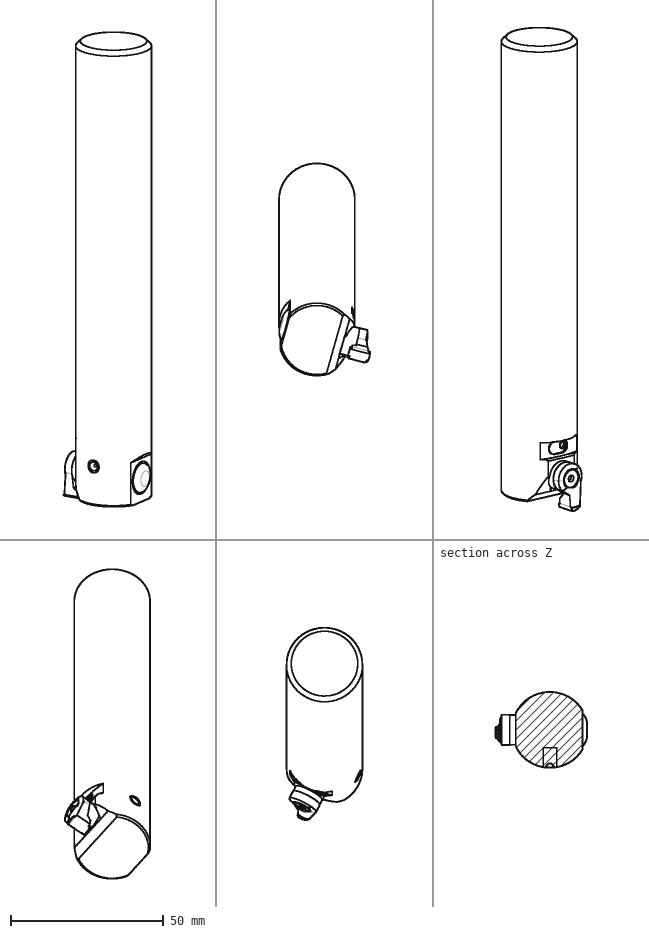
import cadquery as cq
import math


barrel_diameter = 25.0
barrel_radius = barrel_diameter / 2
barrel_length = 155.5
top_chamfer = 1.6
bottom_chamfer = 0.6

window_bottom = 14.7
window_top = 20.4
window_floor_radius = 31.6
window_floor_x = -10.7
recess_floor_x = -10.1
recess_length = 7.6
recess_height = 4.5
recess_center_y = 0.6
recess_center_z = 17.9
recess_hole_diameter = 2.5
recess_hole_bottom_diameter = 2.0
recess_hole_depth = 1.0
recess_hole_step_depth = 0.3
recess_hole_y = -1.7
recess_hole_z = 18.0

seat_x = -11.2
seat_top = 14.0
seat_bottom = 8.8
slope_break_x = -8.7
slope_break_z = 2.7
slope_end_x = -6.0
clearance_min_y = -5.0
clearance_max_y = 2.5

rear_flat_x = 10.7
rear_flat_top = 14.9
rear_run_out = barrel_radius - rear_flat_x

axle_z = 8.2
axle_diameter = 9.8
dome_diameter = 10.9
dome_flat_diameter = 5.2
dome_height = 1.5
dome_bulge_height = 1.0
hub_diameter = 10.0
hub_radius = hub_diameter / 2
hub_back_x = -13.1
hub_rim_x = -15.8
hub_face_x = -16.5
hub_face_diameter = 6.6
dial_diameter = 6.0
dial_floor_x = -16.3
dial_hole_diameter = 2.2
dial_hole_depth = 1.3
arm_outer_x = -17.5
arm_foot_x = -11.7
arm_foot_top = 0.6
foot_slope_top = 2.0
arm_min_y = -3.2
arm_max_y = 1.1
arm_neck_z = 2.8
arm_crown_radius = 7.0
arm_crown_y = -0.8
lip_outer_x = -18.0
lip_inner_x = -11.0
lip_top = -1.3
arm_side_bottom = -1.0
lever_bottom = -2.5
lever_tip_y = 0.6
arm_end_middle_z = -2.0

screw_diameter = 4.3
screw_z = 13.5
screw_face_y = -12.3
screw_length = 6.3
socket_mouth_diameter = 3.0
socket_floor_diameter = 1.0
socket_depth = 1.3

cut_reach = 2 * barrel_diameter


def box_between(x_range, y_range, z_range):
    """Box given by its lower and upper limit along each axis."""
    sizes = [upper - lower for lower, upper in (x_range, y_range, z_range)]
    corner = cq.Vector(x_range[0], y_range[0], z_range[0])
    return cq.Workplane(cq.Solid.makeBox(*sizes, pnt=corner))


def rod_along_x(diameter, start_x, end_x, y, z):
    """Round rod parallel to X."""
    rod = cq.Solid.makeCylinder(diameter / 2, end_x - start_x, cq.Vector(start_x, y, z), cq.Vector(1, 0, 0))
    return cq.Workplane(rod)


def side_profile(points, half_width):
    """Prism with an outline in X and Z, centred on Y = 0."""
    return cq.Workplane("XZ").polyline(points).close().extrude(half_width, both=True)


def axle():
    """Axle through the barrel, with a domed head on the flat at +X."""
    rim_radius = dome_diameter / 2
    flat_radius = dome_flat_diameter / 2
    crown_x = rear_flat_x + dome_height
    bulge_radius = (rim_radius + flat_radius) / 2
    bulge_x = rear_flat_x + dome_bulge_height
    return (
        cq.Workplane("XY")
        .moveTo(hub_back_x, 0)
        .lineTo(hub_back_x, axle_diameter / 2)
        .lineTo(rear_flat_x, axle_diameter / 2)
        .lineTo(rear_flat_x, rim_radius)
        .threePointArc((bulge_x, bulge_radius), (crown_x, flat_radius))
        .lineTo(crown_x, 0)
        .close()
        .revolve(360, (0, 0, 0), (1, 0, 0))
        .translate((0, 0, axle_z))
    )


def lever_hub():
    """Round head of the lever with a coned rim."""
    return (
        cq.Workplane("XY")
        .moveTo(hub_back_x, 0)
        .lineTo(hub_back_x, hub_radius)
        .lineTo(hub_rim_x, hub_radius)
        .lineTo(hub_face_x, hub_face_diameter / 2)
        .lineTo(hub_face_x, 0)
        .close()
        .revolve(360, (0, 0, 0), (1, 0, 0))
        .translate((0, 0, axle_z))
    )


def hub_tangent_point(y, z, side):
    """Point in Y and Z where a line from (y, z) touches the hub, on its +Y side (1) or -Y side (-1)."""
    distance = math.hypot(y, z - axle_z)
    angle = math.atan2(z - axle_z, y) + side * math.acos(hub_radius / distance)
    return hub_radius * math.cos(angle), axle_z + hub_radius * math.sin(angle)


def arm_outline():
    """Prism along X with the arm's outline in Y and Z: tangent to the hub, with a slanting end."""
    minus_side = (arm_min_y, arm_side_bottom)
    plus_side = (arm_max_y, arm_neck_z)
    end_middle = ((arm_min_y + lever_tip_y) / 2, arm_end_middle_z)
    return (
        cq.Workplane("YZ")
        .moveTo(*hub_tangent_point(*minus_side, -1))
        .lineTo(*minus_side)
        .threePointArc(end_middle, (lever_tip_y, lever_bottom))
        .lineTo(arm_max_y, arm_side_bottom)
        .lineTo(*plus_side)
        .lineTo(*hub_tangent_point(*plus_side, 1))
        .threePointArc((0, axle_z + hub_radius), hub_tangent_point(*minus_side, -1))
        .close()
        .extrude(cut_reach, both=True)
    )


def crown_limit(outer_x):
    """Upright cylinder whose -X side rounds the outer face of the arm or lip."""
    cylinder = cq.Workplane("XY").circle(arm_crown_radius).extrude(barrel_diameter, both=True)
    return cylinder.translate((outer_x + arm_crown_radius, arm_crown_y, 0))


def lever_arm():
    """Arm that hangs from the hub, leans outward and ends in a foot with a lip."""
    arm_top = axle_z + dial_diameter / 2
    lean = math.degrees(math.atan2(hub_face_x - arm_outer_x, arm_top - lip_top))
    side = side_profile(
        [
            (hub_back_x, arm_top),
            (hub_back_x, foot_slope_top),
            (arm_foot_x, arm_foot_top),
            (arm_foot_x, lever_bottom),
            (lip_outer_x, lever_bottom),
            (lip_outer_x, arm_top),
        ],
        barrel_radius,
    )
    arm_crown = crown_limit(hub_face_x).rotate((hub_face_x, 0, arm_top), (hub_face_x, 1, arm_top), lean)
    arm = side.intersect(arm_outline()).intersect(arm_crown)
    lip = box_between((lip_outer_x, lip_inner_x), (-barrel_radius, barrel_radius), (lever_bottom, lip_top))
    return arm.union(lip.intersect(arm_outline()).intersect(crown_limit(lip_outer_x)))


def make_lever():
    """Lever in one piece: axle, hub and arm, with the round dial recess in its face."""
    lever = axle().union(lever_hub()).union(lever_arm())
    dial = rod_along_x(dial_diameter, lip_outer_x, dial_floor_x, 0, axle_z)
    dial_hole = rod_along_x(dial_hole_diameter, lip_outer_x, dial_floor_x + dial_hole_depth, 0, axle_z)
    return lever.cut(dial).cut(dial_hole)


def window_cut():
    """Window pocket with its bulging floor, oblong recess and stepped blind hole."""
    window = box_between(
        (-barrel_diameter, 0), (-barrel_radius, barrel_radius), (window_bottom, window_top)
    )
    floor = cq.Workplane("XY").circle(window_floor_radius).extrude(barrel_length)
    floor = floor.translate((window_floor_x + window_floor_radius, 0, 0))
    recess = (
        cq.Workplane("YZ", origin=(recess_floor_x, recess_center_y, recess_center_z))
        .slot2D(recess_length, recess_height)
        .extrude(-barrel_radius - recess_floor_x)
    )
    step_x = recess_floor_x + recess_hole_step_depth
    bottom_x = recess_floor_x + recess_hole_depth
    mouth = rod_along_x(recess_hole_diameter, -barrel_radius, step_x, recess_hole_y, recess_hole_z)
    hole = rod_along_x(recess_hole_bottom_diameter, -barrel_radius, bottom_x, recess_hole_y, recess_hole_z)
    return window.cut(floor).union(recess).union(mouth).union(hole)


def seat_cut():
    """Material removed on the -X side below the window, with a sloping ledge under the window."""
    return side_profile(
        [
            (-barrel_diameter, window_bottom),
            (window_floor_x, window_bottom),
            (seat_x, seat_top),
            (seat_x, seat_bottom),
            (slope_break_x, slope_break_z),
            (slope_end_x, 0),
            (-barrel_diameter, 0),
        ],
        barrel_radius,
    )


def rear_cut():
    """Flat on the +X side with a sloping run-out at its top."""
    return side_profile(
        [
            (rear_flat_x, 0),
            (rear_flat_x, rear_flat_top),
            (barrel_radius, rear_flat_top + rear_run_out),
            (barrel_diameter, rear_flat_top + rear_run_out),
            (barrel_diameter, 0),
        ],
        barrel_radius,
    )


def screw_section():
    """Circle of the set screw at its inner end, to be extruded outward along -Y."""
    return cq.Workplane("XZ", origin=(0, screw_face_y + screw_length, screw_z)).circle(screw_diameter / 2)


def make_housing():
    barrel = cq.Workplane("XY").circle(barrel_radius).extrude(barrel_length)
    barrel = barrel.faces(">Z").chamfer(top_chamfer).faces("<Z").chamfer(bottom_chamfer)
    clearance = box_between(
        (-barrel_diameter, slope_break_x), (clearance_min_y, clearance_max_y), (slope_break_z, axle_z)
    )
    axle_hole = rod_along_x(axle_diameter, -barrel_radius, barrel_radius, 0, axle_z)
    housing = barrel.cut(window_cut()).cut(seat_cut()).cut(rear_cut()).cut(clearance)
    return housing.cut(axle_hole).cut(screw_section().extrude(barrel_radius))


def make_set_screw():
    """Plug with a tapered socket in its outer end."""
    socket = (
        cq.Workplane("XZ", origin=(0, screw_face_y, screw_z))
        .circle(socket_mouth_diameter / 2)
        .workplane(offset=-socket_depth)
        .circle(socket_floor_diameter / 2)
        .loft()
    )
    return screw_section().extrude(screw_length).cut(socket)


housing = make_housing()
lever = make_lever()
set_screw = make_set_screw()

result = cq.Compound.makeCompound([housing.val(), lever.val(), set_screw.val()])